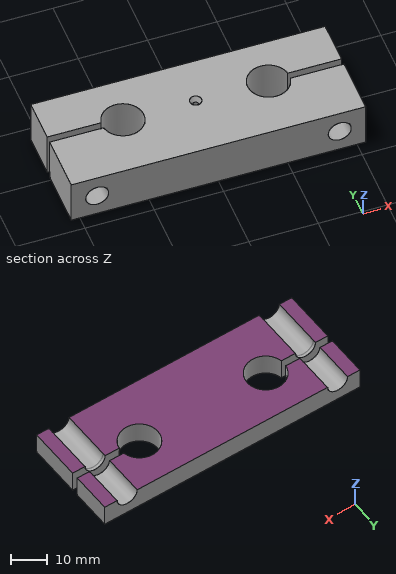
import cadquery as cq
import math

LENGTH = 85.0
WIDTH = 32.0
HEIGHT = 14.0

BORE_DIAMETER = 12.0
BORE_SPACING = 42.0
BORE_LINE_Y = 2.0
SLOT_WIDTH = 2.0

SCREW_DIAMETER = 6.6
SCREW_SPACING = 70.0

COUNTERSINK_DIAMETER = 3.35
COUNTERSINK_ANGLE = 60.0
PILOT_DIAMETER = 1.6
PILOT_DEPTH = 3.5
DRILL_POINT_ANGLE = 120.0


def make_block():
    return cq.Workplane("XY").box(LENGTH, WIDTH, HEIGHT)


def make_clamp_cut(side):
    """Bore and the slot opening it to the end face; side is -1 or +1 along X."""
    bore_x = side * BORE_SPACING / 2
    end_x = side * LENGTH / 2
    bore = (
        cq.Workplane("XY")
        .center(bore_x, BORE_LINE_Y)
        .circle(BORE_DIAMETER / 2)
        .extrude(HEIGHT / 2, both=True)
    )
    slot = (
        cq.Workplane("XY")
        .center((bore_x + end_x) / 2, BORE_LINE_Y)
        .rect(abs(end_x - bore_x), SLOT_WIDTH)
        .extrude(HEIGHT / 2, both=True)
    )
    return bore.union(slot)


def make_screw_hole(side):
    return (
        cq.Workplane("XZ")
        .center(side * SCREW_SPACING / 2, 0)
        .circle(SCREW_DIAMETER / 2)
        .extrude(WIDTH / 2, both=True)
    )


def cone_height(radius_change, included_angle):
    return radius_change / math.tan(math.radians(included_angle / 2))


def make_centre_hole():
    """Half-section of the centre-drilled hole, revolved about its vertical axis."""
    mouth_radius = COUNTERSINK_DIAMETER / 2
    pilot_radius = PILOT_DIAMETER / 2
    top_z = HEIGHT / 2
    pilot_top_z = top_z - cone_height(mouth_radius - pilot_radius, COUNTERSINK_ANGLE)
    tip_z = top_z - PILOT_DEPTH
    pilot_bottom_z = tip_z + cone_height(pilot_radius, DRILL_POINT_ANGLE)
    return (
        cq.Workplane("XZ")
        .moveTo(0, top_z)
        .lineTo(mouth_radius, top_z)
        .lineTo(pilot_radius, pilot_top_z)
        .lineTo(pilot_radius, pilot_bottom_z)
        .lineTo(0, tip_z)
        .close()
        .revolve(360, (0, 0, 0), (0, 1, 0))
        .translate((0, BORE_LINE_Y, 0))
    )


result = make_block().cut(make_centre_hole())
for end_side in (-1, 1):
    result = result.cut(make_clamp_cut(end_side))
    result = result.cut(make_screw_hole(end_side))